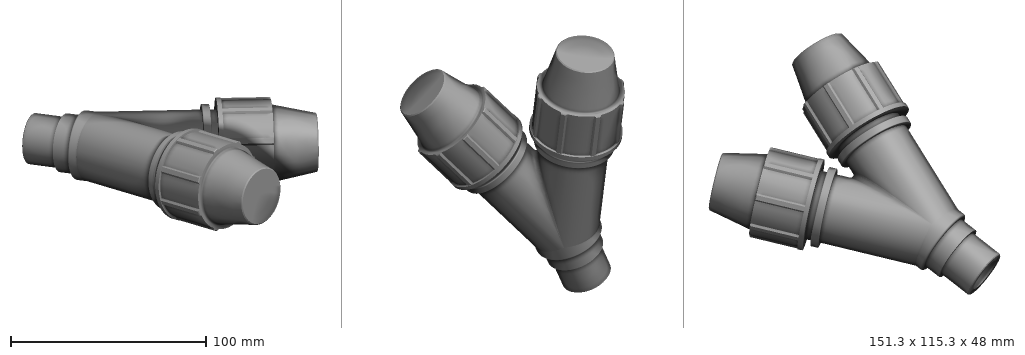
import cadquery as cq
import math

RUN_HEADING = 0.0
BRANCH_HEADING = 45.0
INLET_HEADING = 200.0
OUTLET_HEADINGS = (RUN_HEADING, BRANCH_HEADING)

BODY_DIA = 36.0
RUN_BORE_DIA = 20.0
INLET_BORE_DIA = 18.51
BRANCH_BORE_DIA = INLET_BORE_DIA
BRANCH_LINER_DIA = 24.6
CROTCH_FILLET = 2.0

BODY_SHOULDER = 8.1
SHOULDER_FILLET = 1.0
STEP_END = 17.2
STEP_DIA = 30.41
SPIGOT_END = 35.0
SPIGOT_DIA = 26.44
SPIGOT_CHAMFER = 0.5

COLLAR_START = 54.85
COLLAR_LENGTH = 4.1
COLLAR_DIA = 41.76
COLLAR_FILLET = 0.4
FLANGE_START = 62.5
FLANGE_LENGTH = 2.4
FLANGE_DIA = 48.0
FLANGE_END = FLANGE_START + FLANGE_LENGTH
NUT_END = 90.7
NUT_DIA = 45.3
NOSE_ROOT_FILLET = 1.0
NOSE_END = 114.08
NOSE_BASE_DIA = 40.0
NOSE_TIP_DIA = 30.1
NOSE_CHAMFER = 0.5

RIB_COUNT = 8
RIB_TIP_RADIUS = 23.7
RIB_TIP_WIDTH = 2.4
RIB_FOOT_RADIUS = 22.0
RIB_FOOT_WIDTH = 4.8
RIB_CHAMFER = 0.4


def cylinder(start, end, diameter):
    """Cylinder on the X axis between two stations."""
    return cq.Workplane("YZ", origin=(start, 0, 0)).circle(diameter / 2).extrude(end - start)


def aim(shape, heading):
    """Turn a shape built along +X to a heading in the XY plane."""
    return shape.rotate((0, 0, 0), (0, 0, 1), heading)


def mitre(pipe, heading, neighbour):
    """Trim a pipe on the plane that bisects it and a neighbouring pipe."""
    turn = (neighbour - heading + 180) % 360 - 180
    kept_side = heading + turn / 2 - math.copysign(90, turn)
    size = 4 * NOSE_END
    block = cq.Workplane("XY").box(size, size, size, centered=(False, True, True))
    return pipe.intersect(aim(block, kept_side))


def body_arm(pipe, heading, neighbours):
    """Aim one body pipe and mitre it against the other two."""
    arm = aim(pipe, heading)
    for neighbour in neighbours:
        arm = mitre(arm, heading, neighbour)
    return arm


def body():
    """Mitred wye of equal pipes with a rounded crotch between the outlets."""
    outlet_pipe = cylinder(-BODY_DIA, FLANGE_START, BODY_DIA)
    run = body_arm(outlet_pipe, RUN_HEADING, (BRANCH_HEADING, INLET_HEADING))
    branch = body_arm(outlet_pipe, BRANCH_HEADING, (RUN_HEADING, INLET_HEADING))

    inlet_pipe = cylinder(-BODY_DIA, BODY_SHOULDER, BODY_DIA).faces(">X").edges().fillet(SHOULDER_FILLET)
    inlet = body_arm(inlet_pipe, INLET_HEADING, OUTLET_HEADINGS)

    half_angle = math.radians((BRANCH_HEADING - RUN_HEADING) / 2)
    crotch_reach = BODY_DIA / 2 / math.sin(half_angle)
    bisector = math.radians((BRANCH_HEADING + RUN_HEADING) / 2)
    crease_middle = (
        crotch_reach / 2 * math.cos(bisector),
        crotch_reach / 2 * math.sin(bisector),
        BODY_DIA / 2 * math.cos(math.pi / 6),
    )
    crease = cq.selectors.NearestToPointSelector(crease_middle)
    return run.union(branch).edges(crease).fillet(CROTCH_FILLET).union(inlet)


def spigot():
    """Stepped inlet end with a chamfered mouth."""
    step = cylinder(0, STEP_END, STEP_DIA)
    pipe = cylinder(0, SPIGOT_END, SPIGOT_DIA).faces(">X").chamfer(SPIGOT_CHAMFER)
    return aim(step.union(pipe), INLET_HEADING)


def rib(index):
    """One grip rib with drafted sides, running the length of the nut."""
    tip = RIB_TIP_WIDTH / 2
    foot = RIB_FOOT_WIDTH / 2
    profile = [(-foot, 0), (-foot, RIB_FOOT_RADIUS), (-tip, RIB_TIP_RADIUS)]
    profile += [(-y, z) for y, z in reversed(profile)]
    bar = (
        cq.Workplane("YZ", origin=(FLANGE_END, 0, 0))
        .polyline(profile).close()
        .extrude(NUT_END - FLANGE_END)
        .faces(">X").edges(">Z").chamfer(RIB_CHAMFER)
    )
    pitch = 360 / RIB_COUNT
    return bar.rotate((0, 0, 0), (1, 0, 0), (index + 0.5) * pitch)


def collar():
    """Rounded ring standing on the outlet pipe."""
    return cylinder(COLLAR_START, COLLAR_START + COLLAR_LENGTH, COLLAR_DIA).edges().fillet(COLLAR_FILLET)


def nut():
    """Flanged barrel with grip ribs, closed by a tapered nose."""
    flange = cylinder(FLANGE_START, FLANGE_END, FLANGE_DIA)
    barrel = cylinder(FLANGE_END, NUT_END, NUT_DIA)
    nose = (
        cq.Workplane("YZ", origin=(NUT_END, 0, 0))
        .circle(NOSE_BASE_DIA / 2)
        .workplane(offset=NOSE_END - NUT_END)
        .circle(NOSE_TIP_DIA / 2)
        .loft()
        .faces(">X").chamfer(NOSE_CHAMFER)
    )
    nose_root = cq.selectors.RadiusNthSelector(-2)
    shape = barrel.union(nose).edges("%CIRCLE").edges(nose_root).fillet(NOSE_ROOT_FILLET)
    shape = shape.union(flange)
    for index in range(RIB_COUNT):
        shape = shape.union(rib(index))
    return shape


def hollow(shape):
    """Bore the pipes up to the nuts; the branch liner reaches in to the origin."""
    run_bore = cylinder(0, FLANGE_START, RUN_BORE_DIA)
    inlet_bore = cylinder(0, SPIGOT_END, INLET_BORE_DIA)
    branch_liner = cylinder(0, FLANGE_START, BRANCH_LINER_DIA)
    branch_bore = cylinder(0, FLANGE_START, BRANCH_BORE_DIA)
    shape = shape.cut(aim(run_bore, RUN_HEADING)).cut(aim(inlet_bore, INLET_HEADING))
    return shape.union(aim(branch_liner, BRANCH_HEADING)).cut(aim(branch_bore, BRANCH_HEADING))


result = body().union(spigot())
for heading in OUTLET_HEADINGS:
    result = result.union(aim(collar(), heading)).union(aim(nut(), heading))
result = hollow(result)